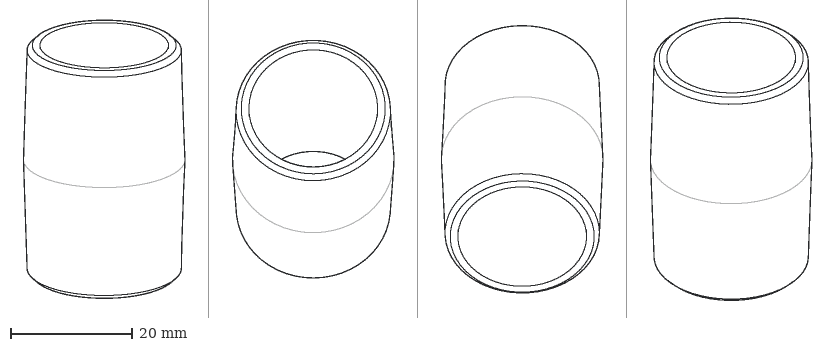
import cadquery as cq

length = 40.15
middle_diameter = 26.7
bore_diameter = 21.23
taper = 1 / 16
chamfer_height = 0.85
end_face_diameter = 23.75

half_length = length / 2
middle_radius = middle_diameter / 2
bore_radius = bore_diameter / 2
end_face_radius = end_face_diameter / 2
taper_length = half_length - chamfer_height
taper_end_radius = middle_radius - taper_length * taper / 2


def tapered_half():
    """Upper half of the tube: tapered outside, chamfered end, straight bore."""
    profile = [
        (bore_radius, 0),
        (middle_radius, 0),
        (taper_end_radius, taper_length),
        (end_face_radius, half_length),
        (bore_radius, half_length),
    ]
    return cq.Workplane("XZ").polyline(profile).close().revolve(360, (0, 0), (0, 1))


upper_half = tapered_half()
lower_half = upper_half.mirror("XY")
result = upper_half.union(lower_half).translate((0, 0, half_length))